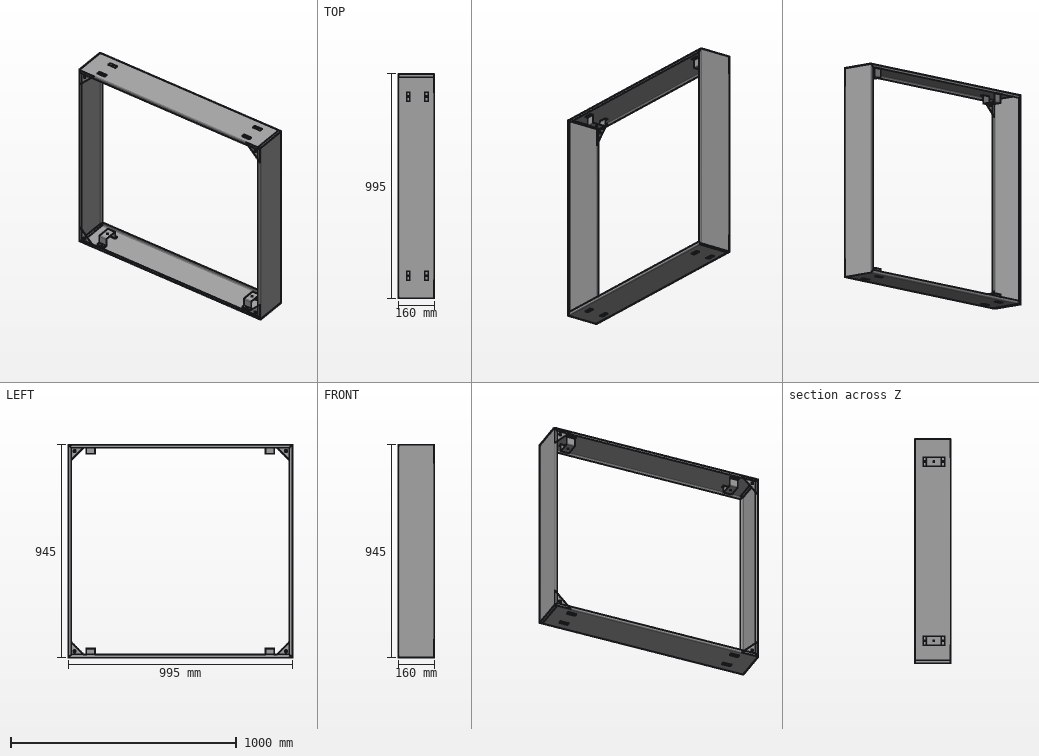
import cadquery as cq

DEPTH = 160.0
WIDTH = 995.0
HEIGHT = 945.0
SHEET = 1.5
BEND_OUTER = 3.0
BEND_INNER = BEND_OUTER - SHEET
FLANGE = 15.0
SEAM = 0.2
HALF_WIDTH = WIDTH / 2
HALF_HEIGHT = HEIGHT / 2
INNER_DEPTH = DEPTH - 2 * SHEET
WALL_Y = HALF_WIDTH - SHEET
WALL_Z = HALF_HEIGHT - SHEET

GUSSET_LEG = 78.0
GUSSET_HOLE = 10.0
GUSSET_HOLE_INSET = 26.0

BRACKET_WIDTH = 40.0
BRACKET_RISE = 40.0
BRACKET_SPAN = 68.0
BRACKET_FOOT = 14.0
BRACKET_X = 85.0
BRACKET_Y = 397.0
BRACKET_HOLE = 6.0


def centred_block(depth, width, height):
    """Box centred on the frame, with its X length as its depth."""
    return cq.Workplane("XY").box(depth, width, height).translate((DEPTH / 2, 0, 0))


def channel_ring():
    """Complete ring of C-shaped channel with rounded bends between walls and flanges."""
    outside = centred_block(DEPTH, WIDTH, HEIGHT).faces("<X or >X").edges().fillet(BEND_OUTER)
    cavity = centred_block(INNER_DEPTH, 2 * WALL_Y, 2 * WALL_Z)
    cavity = cavity.faces("<X or >X").edges().fillet(BEND_INNER)
    opening = centred_block(DEPTH, WIDTH - 2 * FLANGE, HEIGHT - 2 * FLANGE)
    return outside.cut(cavity).cut(opening)


def half_frame():
    """Top wall and -Y wall, mitred at both free ends, with a joining tab at the foot of the -Y wall."""
    reach = 2 * FLANGE
    inner_y = HALF_WIDTH - reach
    inner_z = HALF_HEIGHT - reach
    l_shape = (
        cq.Workplane("YZ")
        .polyline([
            (-HALF_WIDTH, -HALF_HEIGHT),
            (-HALF_WIDTH, HALF_HEIGHT),
            (HALF_WIDTH, HALF_HEIGHT),
            (inner_y, inner_z),
            (-inner_y, inner_z),
            (-inner_y, -inner_z),
        ])
        .close()
        .extrude(DEPTH)
    )
    slit = (
        cq.Workplane("YZ")
        .polyline([
            (-WALL_Y, WALL_Z - SEAM),
            (-WALL_Y, WALL_Z),
            (-WALL_Y + SEAM, WALL_Z),
            (-inner_y, inner_z + SEAM),
            (-inner_y, inner_z),
            (-inner_y - SEAM, inner_z),
        ])
        .close()
        .extrude(DEPTH)
    )
    tab = (
        cq.Workplane("XY")
        .box(DEPTH - 2 * BEND_OUTER, FLANGE - SHEET, SHEET, centered=(True, False, False))
        .translate((DEPTH / 2, -WALL_Y, -WALL_Z))
    )
    return channel_ring().intersect(l_shape).cut(slit).union(tab)


def gusset():
    """Drilled triangular plate for the +Y, +Z corner, its legs ending where the bends begin."""
    corner_y = HALF_WIDTH - BEND_OUTER
    corner_z = HALF_HEIGHT - BEND_OUTER
    return (
        cq.Workplane("YZ")
        .polyline([
            (corner_y, corner_z),
            (corner_y - GUSSET_LEG, corner_z),
            (corner_y, corner_z - GUSSET_LEG),
        ])
        .close()
        .moveTo(corner_y - GUSSET_HOLE_INSET, corner_z - GUSSET_HOLE_INSET)
        .circle(GUSSET_HOLE / 2)
        .extrude(-SHEET)
        .translate((DEPTH - SHEET, 0, 0))
    )


def bracket_block(length, rise):
    """Block as wide as the bracket, centred on the Z axis and rising from Z = 0."""
    return cq.Workplane("XY").box(length, BRACKET_WIDTH, rise, centered=(True, True, False))


def bracket():
    """Hat-shaped strip standing on the bottom wall, at +Y."""
    outside = bracket_block(BRACKET_SPAN, BRACKET_RISE).faces(">Z").edges("|Y").fillet(BEND_OUTER)
    inside = bracket_block(BRACKET_SPAN - 2 * SHEET, BRACKET_RISE - SHEET)
    inside = inside.faces(">Z").edges("|Y").fillet(BEND_INNER)
    feet = bracket_block(BRACKET_SPAN + 2 * BRACKET_FOOT, SHEET)
    strip = outside.union(feet).cut(inside)
    foot_middle = (BRACKET_SPAN + BRACKET_FOOT) / 2
    holes = (
        cq.Workplane("XY")
        .pushPoints([(-foot_middle, 0), (0, 0), (foot_middle, 0)])
        .circle(BRACKET_HOLE / 2)
        .extrude(BRACKET_RISE)
    )
    return strip.cut(holes).translate((BRACKET_X, BRACKET_Y, -WALL_Z))


def four_corners(body):
    """The body together with its mirror images across the two middle planes."""
    pair = [body.val(), body.mirror("XZ").val()]
    return pair + [solid.mirror("XY") for solid in pair]


upper_half = half_frame()
lower_half = upper_half.rotate((0, 0, 0), (1, 0, 0), 180)
gussets = four_corners(gusset())
brackets = four_corners(bracket())

result = cq.Compound.makeCompound([upper_half.val(), lower_half.val(), *gussets, *brackets])